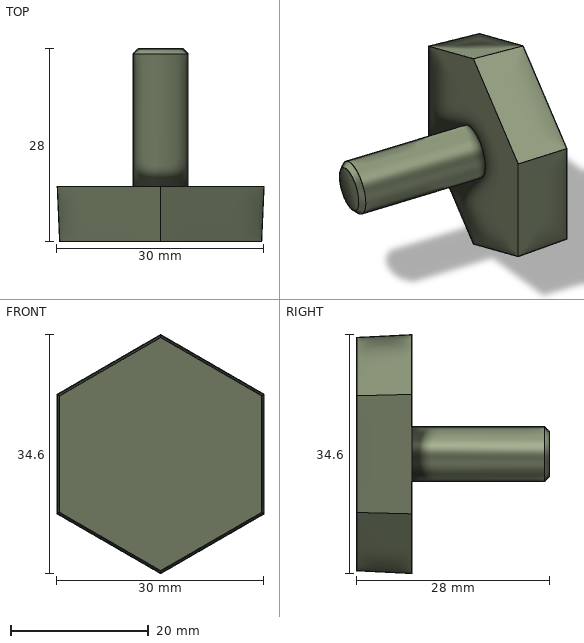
import cadquery as cq
import math

across_flats = 30.0
head_thickness = 8.0
draft_angle = 2.5
shank_diameter = 8.0
shank_length = 20.0
thread_root_diameter = 6.466

tip_chamfer = (shank_diameter - thread_root_diameter) / 2
corner_count = 6
sector_angle = 2 * math.pi / corner_count
corner_radius = across_flats / 2 / math.cos(sector_angle / 2)


def make_head():
    """Drafted hexagonal head, from Y = 0 towards -Y, with corners up and down."""
    corner_angles = [(i + 0.5) * sector_angle for i in range(corner_count)]
    corners = [(corner_radius * math.cos(a), corner_radius * math.sin(a)) for a in corner_angles]
    hexagon = cq.Workplane("XZ").polyline(corners).close()
    return hexagon.extrude(head_thickness, taper=draft_angle)


def make_shank():
    """Round shank from Y = 0 towards +Y, with a chamfered tip."""
    shank = cq.Workplane("XZ").circle(shank_diameter / 2).extrude(-shank_length)
    return shank.faces(">Y").chamfer(tip_chamfer)


result = make_head().union(make_shank())